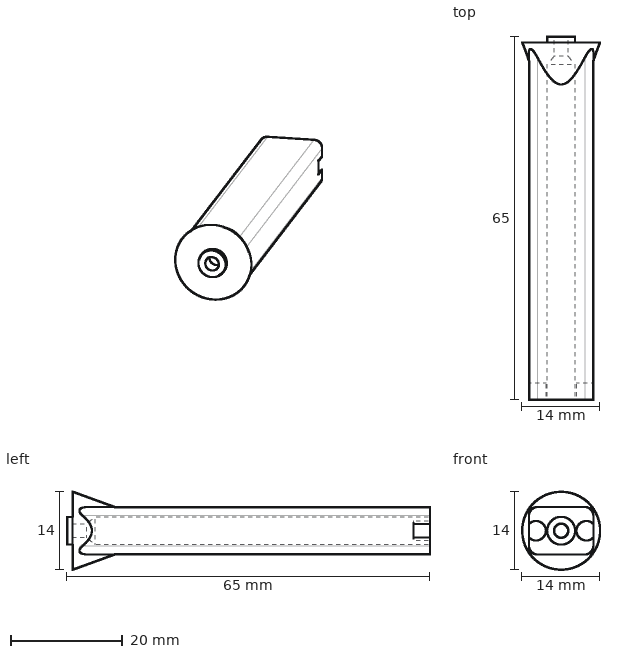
import cadquery as cq
import math

bar_width = 11.5
bar_height = 8.5
bar_corner_radius = 1.5

total_length = 65.0
spigot_diameter = 5.0
spigot_length = 1.0
head_face_y = total_length - spigot_length

head_diameter = 14.0
head_half_angle = 20.0
head_buried_diameter = 7.0
head_length = (head_diameter - head_buried_diameter) / 2 / math.tan(math.radians(head_half_angle))

bore_diameter = 5.0
bore_depth = 60.0
seat_length = 1.5
through_hole_diameter = 2.5
seat_end_y = bore_depth + seat_length

notch_diameter = 3.5
notch_center_x = 4.5
notch_depth = 3.0

along_y = cq.Vector(0, 1, 0)


def cylinder_along_y(diameter, start_y, length, center_x=0):
    base = cq.Vector(center_x, start_y, 0)
    return cq.Workplane(cq.Solid.makeCylinder(diameter / 2, length, base, along_y))


def cone_along_y(start_diameter, end_diameter, start_y, length):
    base = cq.Vector(0, start_y, 0)
    return cq.Workplane(cq.Solid.makeCone(start_diameter / 2, end_diameter / 2, length, base, along_y))


def make_bar():
    bar = cq.Workplane("XY").box(bar_width, head_face_y, bar_height)
    return bar.edges("|Y").fillet(bar_corner_radius).translate((0, head_face_y / 2, 0))


def make_head():
    return cone_along_y(head_buried_diameter, head_diameter, head_face_y - head_length, head_length)


def make_spigot():
    return cylinder_along_y(spigot_diameter, head_face_y, spigot_length)


def cut_bore(body):
    body = body.cut(cylinder_along_y(bore_diameter, 0, bore_depth))
    body = body.cut(cone_along_y(bore_diameter, through_hole_diameter, bore_depth, seat_length))
    return body.cut(cylinder_along_y(through_hole_diameter, seat_end_y, total_length - seat_end_y))


def cut_notches(body):
    for side in (-1, 1):
        body = body.cut(cylinder_along_y(notch_diameter, 0, notch_depth, side * notch_center_x))
    return body


body = make_bar().union(make_head()).union(make_spigot())
result = cut_notches(cut_bore(body))